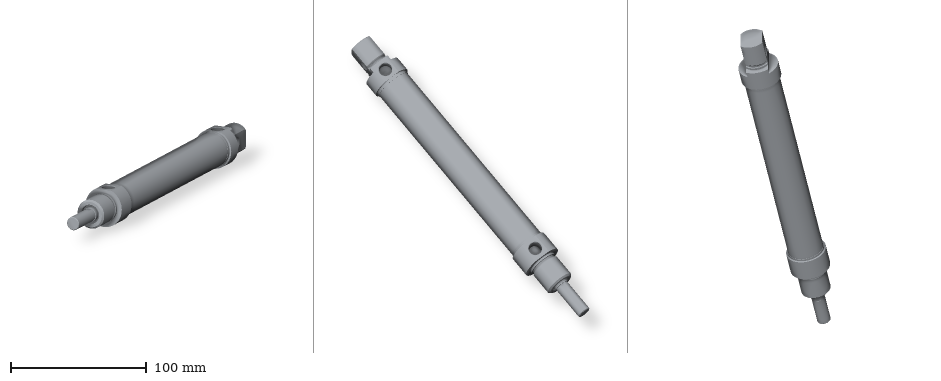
import cadquery as cq
import math

TOTAL_LENGTH = 265.0

ROD_DIA = 10.0
THREAD_DIA = 22.0
GROOVE_DIA = 19.5
COLLAR_DIA = 30.0
LIP_DIA = 27.0
TUBE_DIA = 26.5
TUBE_BORE = 25.0
RECESS_DIA = 14.0
RECESS_MOUTH_DIA = 15.0
PORT_DIA = 9.8
PORT_MOUTH_DIA = 10.5
WIPER_DIA = 11.0
EYE_HOLE_DIA = 8.0

WIPER_FRONT = 26.8
HEAD_FRONT = 28.0
HEAD_GROOVE_START = 46.0
HEAD_GROOVE_END = 48.5
HEAD_COLLAR_START = 50.0
HEAD_COLLAR_END = 66.0
HEAD_LIP_END = 67.5
HEAD_PORT_Y = 58.0

CAP_GROOVE_START = 17.8
CAP_GROOVE_END = 20.1
CAP_COLLAR_START = 21.7
EYE_FLATS_END = 25.7
CAP_PORT = 29.7
CAP_COLLAR_END = 37.0
CAP_LIP_END = 39.2
EYE_HOLE = 14.0

PORT_FLAT_Z = LIP_DIA / 2
CAP_PORT_DEPTH = 6.5
HEAD_PORT_DEPTH = 12.7
DRILL_POINT_ANGLE = 118
EYE_WIDTH = 16.5
NOSE_CHAMFER = 1.3
EYE_CHAMFER = 0.8
RECESS_DEPTH = 2.0
TIP_CHAMFER = 0.5
WRENCH_WIDTH = 9.0
WRENCH_START = 21.5
WRENCH_END = 27.0

CAP_FRONT = TOTAL_LENGTH - CAP_LIP_END
CUT_SIZE = 2 * COLLAR_DIA


def cylinder(diameter, start, end):
    """Cylinder on the Y axis between two stations."""
    return cq.Workplane("XZ", origin=(0, start, 0)).circle(diameter / 2).extrude(start - end)


def box(size_x, start, end, bottom, top, center_x=0):
    """Box spanning Y stations and Z levels."""
    return (
        cq.Workplane("XY", origin=(center_x, (start + end) / 2, bottom))
        .rect(size_x, end - start)
        .extrude(top - bottom)
    )


def end_fitting(chamfer, groove_start, groove_end, collar_start, collar_end, lip_end):
    """Turned end piece with its free end at y = 0 and its lip towards +Y."""
    thread_r = THREAD_DIA / 2
    groove_r = GROOVE_DIA / 2
    collar_r = COLLAR_DIA / 2
    lip_r = LIP_DIA / 2
    runout = thread_r - groove_r
    outline = [
        (0, 0),
        (thread_r - chamfer, 0),
        (thread_r, chamfer),
        (thread_r, groove_start),
        (groove_r, groove_start + runout),
        (groove_r, groove_end),
        (thread_r, groove_end),
        (thread_r, collar_start),
        (collar_r, collar_start),
        (collar_r, collar_end),
        (lip_r, collar_end),
        (lip_r, lip_end),
        (0, lip_end),
    ]
    body = cq.Workplane("XY").polyline(outline).close().revolve(360, (0, 0, 0), (0, 1, 0))
    return body.cut(box(CUT_SIZE, collar_start, collar_end, PORT_FLAT_Z, COLLAR_DIA))


def port(y, depth):
    """Vertical port with a chamfered mouth and a drill-point bottom."""
    radius = PORT_DIA / 2
    mouth_r = PORT_MOUTH_DIA / 2
    chamfer = mouth_r - radius
    shoulder_z = PORT_FLAT_Z - depth
    point_z = shoulder_z - radius / math.tan(math.radians(DRILL_POINT_ANGLE / 2))
    outline = [
        (0, point_z),
        (radius, shoulder_z),
        (radius, PORT_FLAT_Z - chamfer),
        (mouth_r, PORT_FLAT_Z),
        (mouth_r, COLLAR_DIA),
        (0, COLLAR_DIA),
    ]
    profile = cq.Workplane("XZ").polyline(outline).close()
    return profile.revolve(360, (0, 0, 0), (0, 1, 0)).translate((0, y, 0))


def make_head():
    head = end_fitting(
        NOSE_CHAMFER,
        HEAD_GROOVE_START - HEAD_FRONT,
        HEAD_GROOVE_END - HEAD_FRONT,
        HEAD_COLLAR_START - HEAD_FRONT,
        HEAD_COLLAR_END - HEAD_FRONT,
        HEAD_LIP_END - HEAD_FRONT,
    ).translate((0, HEAD_FRONT, 0))
    recess_floor = HEAD_FRONT + RECESS_DEPTH
    mouth_chamfer = (RECESS_MOUTH_DIA - RECESS_DIA) / 2
    recess = cylinder(RECESS_DIA, HEAD_FRONT, recess_floor)
    mouth = cq.Workplane("XY").add(
        cq.Solid.makeCone(
            RECESS_MOUTH_DIA / 2,
            RECESS_DIA / 2,
            mouth_chamfer,
            pnt=cq.Vector(0, HEAD_FRONT, 0),
            dir=cq.Vector(0, 1, 0),
        )
    )
    head = head.cut(recess).cut(mouth)
    head = head.union(cylinder(WIPER_DIA, WIPER_FRONT, recess_floor))
    head = head.cut(port(HEAD_PORT_Y, HEAD_PORT_DEPTH))
    return head.cut(cylinder(ROD_DIA, WIPER_FRONT, HEAD_LIP_END))


def make_end_cap():
    cap = end_fitting(
        EYE_CHAMFER,
        CAP_GROOVE_START,
        CAP_GROOVE_END,
        CAP_COLLAR_START,
        CAP_COLLAR_END,
        CAP_LIP_END,
    )
    cap = cap.mirror("XZ").translate((0, TOTAL_LENGTH, 0))
    cheek_x = (EYE_WIDTH + CUT_SIZE) / 2
    for side in (-1, 1):
        cheek = box(
            CUT_SIZE, TOTAL_LENGTH - EYE_FLATS_END, TOTAL_LENGTH, -COLLAR_DIA, COLLAR_DIA, side * cheek_x
        )
        cap = cap.cut(cheek)
    eye_hole = (
        cq.Workplane("YZ", origin=(0, TOTAL_LENGTH - EYE_HOLE, 0))
        .circle(EYE_HOLE_DIA / 2)
        .extrude(COLLAR_DIA, both=True)
    )
    return cap.cut(eye_hole).cut(port(TOTAL_LENGTH - CAP_PORT, CAP_PORT_DEPTH))


def make_tube():
    return cylinder(TUBE_DIA, HEAD_LIP_END, CAP_FRONT).cut(cylinder(TUBE_BORE, HEAD_LIP_END, CAP_FRONT))


def make_rod():
    rod = cylinder(ROD_DIA, 0, HEAD_LIP_END).faces("<Y").chamfer(TIP_CHAMFER)
    flat_z = WRENCH_WIDTH / 2
    rod = rod.cut(box(ROD_DIA, WRENCH_START, WRENCH_END, flat_z, ROD_DIA))
    return rod.cut(box(ROD_DIA, WRENCH_START, WRENCH_END, -ROD_DIA, -flat_z))


head = make_head()
end_cap = make_end_cap()
tube = make_tube()
rod = make_rod()

result = cq.Compound.makeCompound([head.val(), end_cap.val(), tube.val(), rod.val()])